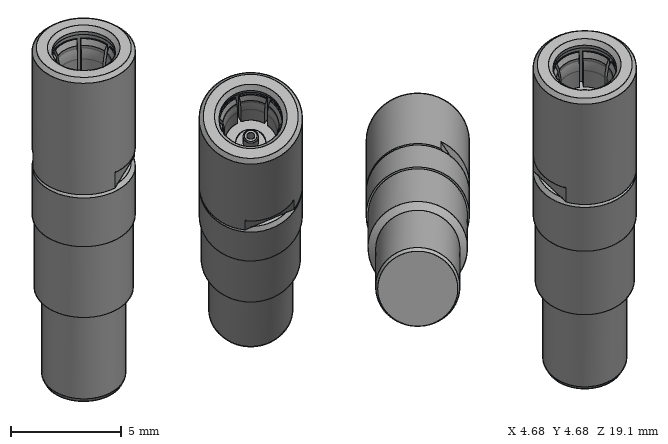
import cadquery as cq

length = 19.1
collar_diameter = 4.68
collar_radius = collar_diameter / 2
edge_chamfer = 0.2

tail_radius = 1.91
tail_chamfer_width = 0.1
tail_chamfer_height = 0.23
barrel_radius = 2.25
barrel_bottom = 5.0
barrel_chamfer_height = 0.23
collar_bottom = 9.42
sleeve_bottom = 12.43

flat_offset = 1.99
flat_height = 0.9

mouth_radius = 1.65
mouth_chamfer = 0.21
entry_radius = mouth_radius - mouth_chamfer
entry_depth = 0.38
relief_radius = 1.57
socket_depth = 2.67
socket_floor = length - socket_depth

finger_count = 6
finger_outer_radius = 1.47
finger_taper_radius = 1.41
finger_lip_radius = 1.28
finger_bore_radius = 1.2
finger_top = length - 0.61
finger_taper_height = 0.29
lip_height = 0.15
bulge_height = 0.57
slot_width = 0.17

insulator_radius = 0.69
insulator_height = 0.1
contact_radius = 0.35
contact_bore_radius = 0.17
contact_tip_chamfer = 0.05
contact_height = 0.76


def revolve_profile(points):
    """Solid of revolution about Z from (radius, height) points."""
    return cq.Workplane("XZ").polyline(points).close().revolve(360, (0, 0), (0, 1))


def make_body():
    """Solid stepped shaft with a V-shaped notch where the collar chamfer meets the sleeve."""
    return revolve_profile([
        (0, 0),
        (tail_radius - tail_chamfer_width, 0),
        (tail_radius, tail_chamfer_height),
        (tail_radius, barrel_bottom),
        (barrel_radius, barrel_bottom + barrel_chamfer_height),
        (barrel_radius, collar_bottom),
        (collar_radius, collar_bottom),
        (collar_radius, sleeve_bottom - edge_chamfer),
        (collar_radius - edge_chamfer, sleeve_bottom),
        (collar_radius, sleeve_bottom),
        (collar_radius, length - edge_chamfer),
        (collar_radius - edge_chamfer, length),
        (0, length),
    ])


def make_flat_cutter(side):
    """Block outside the flat on the +X (side 1) or -X (side -1) face."""
    depth = collar_radius - flat_offset
    return (
        cq.Workplane("XY")
        .box(depth, 2 * collar_radius, flat_height, centered=(True, True, False))
        .translate((side * (flat_offset + depth / 2), 0, sleeve_bottom))
    )


def make_socket():
    """Cutter for the chamfered mouth, the entry bore and the wider relief below it."""
    return revolve_profile([
        (0, length),
        (mouth_radius, length),
        (entry_radius, length - mouth_chamfer),
        (entry_radius, length - entry_depth),
        (relief_radius, length - entry_depth),
        (relief_radius, socket_floor),
        (0, socket_floor),
    ])


def make_finger_ring():
    """Ring with a tapered lead-in, a narrow lip and a bulge that eases into the bore."""
    lip_top = finger_top - finger_taper_height
    bulge_top = lip_top - lip_height
    bulge_bottom = bulge_top - bulge_height
    return (
        cq.Workplane("XZ")
        .moveTo(finger_bore_radius, socket_floor)
        .lineTo(finger_bore_radius, bulge_bottom)
        .tangentArcPoint((finger_lip_radius, bulge_top), relative=False)
        .lineTo(finger_lip_radius, lip_top)
        .lineTo(finger_taper_radius, finger_top)
        .lineTo(finger_outer_radius, finger_top)
        .lineTo(finger_outer_radius, socket_floor)
        .close()
        .revolve(360, (0, 0), (0, 1))
    )


def make_slot_cutter(angle):
    """Slab across the ring that opens two opposite slots between fingers."""
    return (
        cq.Workplane("XY")
        .box(2 * relief_radius, slot_width, finger_top - socket_floor, centered=(True, True, False))
        .translate((0, 0, socket_floor))
        .rotate((0, 0, 0), (0, 0, 1), angle)
    )


def make_contact():
    """Insulator boss with a chamfered tubular pin on it."""
    boss = (
        cq.Workplane("XY", origin=(0, 0, socket_floor))
        .circle(insulator_radius)
        .extrude(insulator_height)
    )
    pin = (
        cq.Workplane("XY", origin=(0, 0, socket_floor))
        .circle(contact_radius)
        .extrude(contact_height)
        .faces(">Z")
        .chamfer(contact_tip_chamfer)
    )
    bore = (
        cq.Workplane("XY", origin=(0, 0, socket_floor))
        .circle(contact_bore_radius)
        .extrude(contact_height)
    )
    return boss.union(pin).cut(bore)


body = make_body().cut(make_socket())
for side in (-1, 1):
    body = body.cut(make_flat_cutter(side))

fingers = make_finger_ring()
for index in range(finger_count // 2):
    fingers = fingers.cut(make_slot_cutter(index * 360 / finger_count))

result = body.union(fingers).union(make_contact())